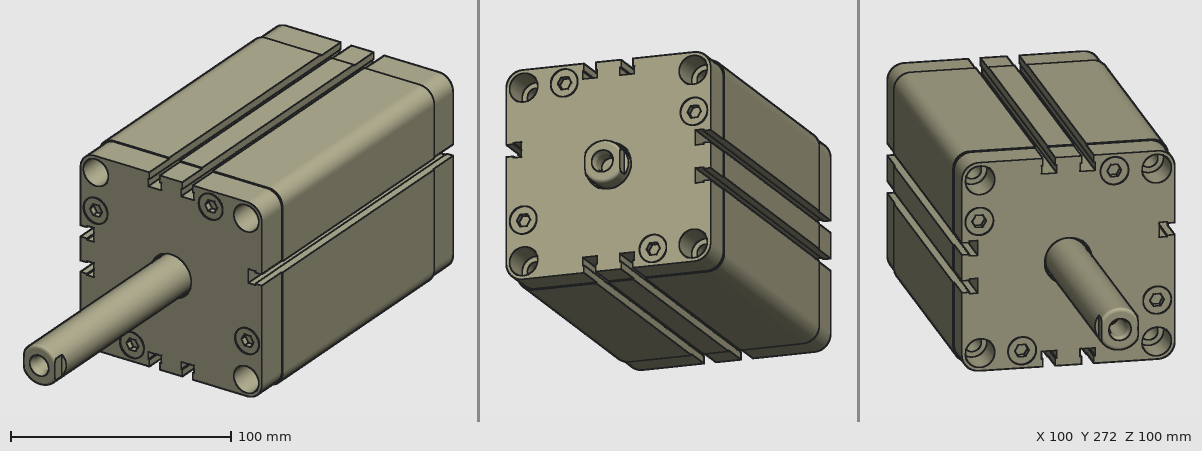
import cadquery as cq
import math


overall_length = 272
barrel_width = 100.0
cover_inset = 0.5
cover_width = barrel_width - 2 * cover_inset
corner_radius = 8.0
housing_length = 156.5
cover_length = 16.3
barrel_length = housing_length - 2 * cover_length
housing_middle = housing_length / 2

rod_diameter = 20.0
rod_front_reach = 107.7
rod_edge_radius = 1.5
rod_clearance_diameter = 22.0
rod_clearance_depth = 2.7
flat_width = 17.0
flat_length = 6.0
flat_runout = 1.0
thread_diameter = 8.5
thread_mouth_diameter = 10.3
thread_mouth_depth = 3.3
thread_depth = 21.8
drill_point_angle = 118

slot_offset = 9.0
single_slot_offset = 12.0
slot_mouth_width = 5.7
slot_inner_width = 7.0
slot_depth = 8.0
slot_lip = 4.0

mount_offset = 41.0
mount_hole_diameter = 8.5
mount_bore_diameter = 13.5
mount_bore_depth = cover_length

screw_edge_offset = 41.3
screw_side_offset = 21.5
screw_head_diameter = 13.0
screw_recess = 0.5
socket_across_flats = 5.7
socket_depth = 3.3


def xz_plane(y):
    """Sketch plane at the given Y whose extrusions run toward +Y; its local y axis is Z."""
    return cq.Workplane(cq.Plane(origin=(0, y, 0), xDir=(-1, 0, 0), normal=(0, 1, 0)))


def rounded_block(width, length, y):
    return xz_plane(y).rect(width, width).extrude(length).edges("|Y").fillet(corner_radius)


def both_ends(front_tool):
    """Front cover tool together with its mirror image for the rear cover."""
    return front_tool.union(front_tool.mirror("XZ", (0, housing_middle, 0)))


def t_slot(offset, turn):
    """T-slot in the top side, shifted along X, then turned about the Y axis."""
    top = barrel_width / 2
    inner_height = slot_depth - slot_lip
    mouth = cq.Workplane("XY").box(slot_mouth_width, housing_length, slot_depth)
    mouth = mouth.translate((offset, housing_middle, top - slot_depth / 2))
    inner = cq.Workplane("XY").box(slot_inner_width, housing_length, inner_height)
    inner = inner.translate((offset, housing_middle, top - slot_depth + inner_height / 2))
    return mouth.union(inner).rotate((0, 0, 0), (0, 1, 0), turn)


def mounting_holes():
    def holes(diameter, length):
        spacing = 2 * mount_offset
        return xz_plane(0).rarray(spacing, spacing, 2, 2).circle(diameter / 2).extrude(length)

    return holes(mount_hole_diameter, housing_length).union(
        both_ends(holes(mount_bore_diameter, mount_bore_depth))
    )


def screw_pockets():
    """Socket-head screws sunk into the front cover, repeated every quarter turn."""
    socket_across_corners = socket_across_flats / math.cos(math.radians(30))
    centers = [
        (screw_side_offset, -screw_edge_offset),
        (screw_edge_offset, screw_side_offset),
        (-screw_side_offset, screw_edge_offset),
        (-screw_edge_offset, -screw_side_offset),
    ]
    heads = xz_plane(0).pushPoints(centers).circle(screw_head_diameter / 2).extrude(screw_recess)
    sockets = xz_plane(0).pushPoints(centers).polygon(6, socket_across_corners)
    return heads.union(sockets.extrude(screw_recess + socket_depth))


def threaded_hole(y):
    """Tapped hole entering the rod toward +Y, with a tapered mouth and a drill point."""
    radius = thread_diameter / 2
    mouth_radius = thread_mouth_diameter / 2
    point_length = radius / math.tan(math.radians(drill_point_angle / 2))
    profile = (
        cq.Workplane("XY")
        .moveTo(0, y)
        .lineTo(mouth_radius, y)
        .lineTo(radius, y + thread_mouth_depth)
        .lineTo(radius, y + thread_depth)
        .lineTo(0, y + thread_depth + point_length)
        .close()
    )
    return profile.revolve(360, (0, 0, 0), (0, 1, 0))


def rod_flat(y):
    """Wrench flat on the +X side of the rod end, running out with a slope."""
    flat_x = flat_width / 2
    rod_radius = rod_diameter / 2
    return (
        cq.Workplane("XY")
        .moveTo(flat_x, y)
        .lineTo(flat_x, y + flat_length)
        .lineTo(rod_radius, y + flat_length + flat_runout)
        .lineTo(rod_radius, y)
        .close()
        .extrude(rod_radius, both=True)
    )


def piston_rod():
    front_y = -rod_front_reach
    middle_y = front_y + overall_length / 2
    rod = xz_plane(front_y).circle(rod_diameter / 2).extrude(overall_length)
    rod = rod.faces("<Y or >Y").edges().fillet(rod_edge_radius)
    flat = rod_flat(front_y)
    for tool in (threaded_hole(front_y), flat, flat.mirror("YZ")):
        rod = rod.cut(tool).cut(tool.mirror("XZ", (0, middle_y, 0)))
    return rod


def housing():
    body = rounded_block(barrel_width, barrel_length, cover_length)
    for cover_y in (0, housing_length - cover_length):
        body = body.union(rounded_block(cover_width, cover_length, cover_y))
    for turn in (0, 180, -90):
        for offset in (-slot_offset, slot_offset):
            body = body.cut(t_slot(offset, turn))
    body = body.cut(t_slot(-single_slot_offset, 90))
    rod_clearance = xz_plane(0).circle(rod_clearance_diameter / 2).extrude(rod_clearance_depth)
    return body.cut(mounting_holes()).cut(both_ends(screw_pockets())).cut(both_ends(rod_clearance))


result = housing().union(piston_rod())